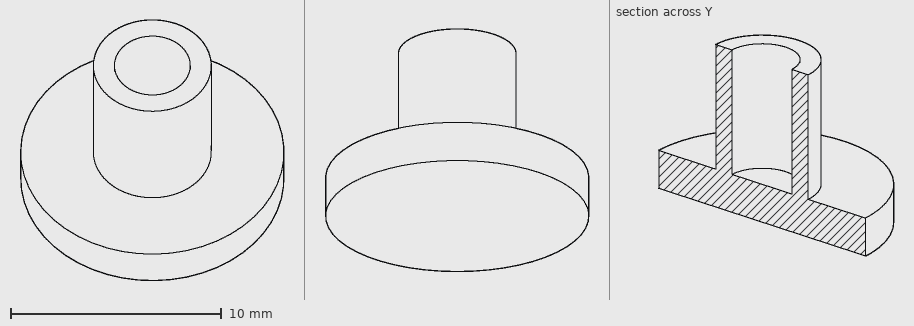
import cadquery as cq

flange_diameter = 12.5
flange_thickness = 2.0
total_height = 8.5
tube_diameter = 5.6
bore_diameter = 3.6

tube_height = total_height - flange_thickness
bore_depth = tube_height

flange = cq.Workplane("XY").circle(flange_diameter / 2).extrude(flange_thickness)

flanged_tube = (
    flange.faces(">Z").workplane()
    .circle(tube_diameter / 2)
    .extrude(tube_height)
)

result = (
    flanged_tube.faces(">Z").workplane()
    .hole(bore_diameter, bore_depth)
)